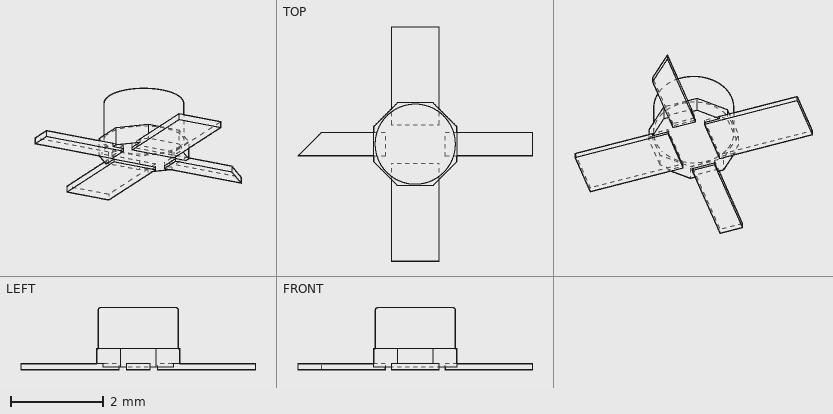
import cadquery as cq

span = 5.08
total_height = 1.35

lead_thickness = 0.135
narrow_lead_width = 0.515
narrow_lead_inner_end = 0.645
wide_lead_width = 1.03
wide_lead_inner_end = 0.415

base_width = 1.8
base_corner_cut = 0.52
base_bottom = 0.06
base_top = 0.455

cap_radius = 0.87
cap_edge_radius = 0.06


def make_lead(width, inner_end, angle, mitred=False):
    """Flat lead pointing along +X, then turned about Z; a mitred tip is cut at 45 degrees."""
    tip = span / 2
    mitre = width if mitred else 0
    half_width = width / 2
    outline = [
        (inner_end, -half_width),
        (tip - mitre, -half_width),
        (tip, half_width),
        (inner_end, half_width),
    ]
    lead = cq.Workplane("XY").polyline(outline).close().extrude(lead_thickness)
    return lead.rotate((0, 0, 0), (0, 0, 1), angle)


def make_base(leads):
    """Octagonal base with a recess in its underside for each lead."""
    base = (
        cq.Workplane("XY")
        .workplane(offset=base_bottom)
        .rect(base_width, base_width)
        .extrude(base_top - base_bottom)
        .edges("|Z")
        .chamfer(base_corner_cut)
    )
    for lead in leads:
        base = base.cut(lead)
    return base


def make_cap():
    """Round cap standing on the base, with a rounded top edge."""
    return (
        cq.Workplane("XY")
        .workplane(offset=base_top)
        .circle(cap_radius)
        .extrude(total_height - base_top)
        .faces(">Z")
        .edges()
        .fillet(cap_edge_radius)
    )


narrow_leads = [
    make_lead(narrow_lead_width, narrow_lead_inner_end, angle, mitred)
    for angle, mitred in [(0, False), (180, True)]
]
wide_leads = [make_lead(wide_lead_width, wide_lead_inner_end, angle) for angle in (90, 270)]
leads = narrow_leads + wide_leads
base = make_base(leads)
cap = make_cap()

result = cq.Compound.makeCompound([base.val(), cap.val(), *[lead.val() for lead in leads]])